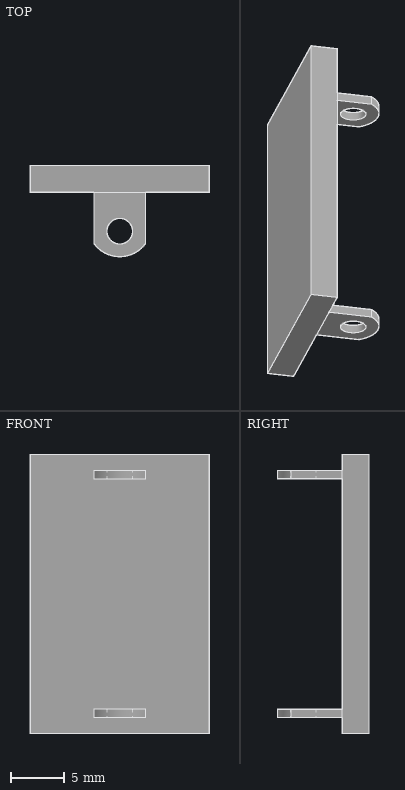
import cadquery as cq

plate_width = 16.87
plate_thickness = 2.54
plate_height = 26.26

lug_width = 4.86
lug_length = 6.07
lug_side_length = 4.82
lug_thickness = 0.8
lug_edge_gap = 1.5
hole_diameter = 2.39
hole_distance = 3.66

lug_center_z = plate_height / 2 - lug_edge_gap - lug_thickness / 2


def make_plate():
    return cq.Workplane("XY").box(
        plate_width, plate_thickness, plate_height, centered=(True, False, True)
    )


def make_lug(center_z):
    """Tab with a shallow rounded end and a through hole, rooted on the plate face."""
    half_width = lug_width / 2
    base = cq.Workplane("XY", origin=(0, 0, center_z - lug_thickness / 2))
    tab = (
        base.moveTo(-half_width, 0)
        .lineTo(-half_width, -lug_side_length)
        .threePointArc((0, -lug_length), (half_width, -lug_side_length))
        .lineTo(half_width, 0)
        .close()
        .extrude(lug_thickness)
    )
    hole = base.center(0, -hole_distance).circle(hole_diameter / 2).extrude(lug_thickness)
    return tab.cut(hole)


result = make_plate()
for lug_z in (lug_center_z, -lug_center_z):
    result = result.union(make_lug(lug_z))